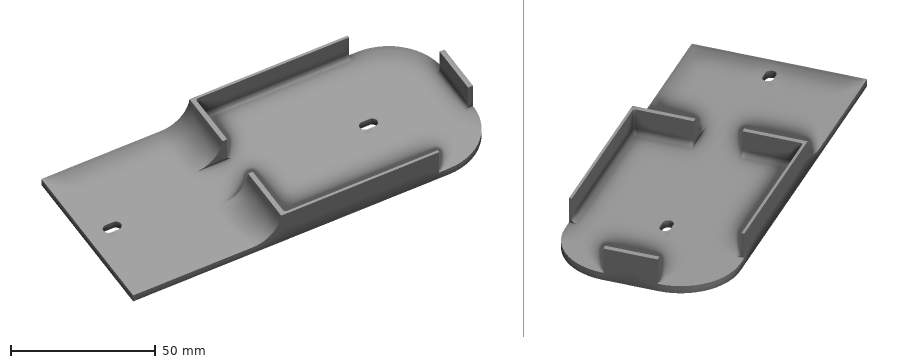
import cadquery as cq

length = 147.9
width = 65.0
plate_thickness = 3.0
total_height = 13.0
corner_radius = 22.0

side_wall = 1.0
side_wall_start = length - 26.0
cross_wall_inner = length - 87.1
cross_wall_outer = length - 88.9
foot_radius = 1.9
inner_corner_radius = 1.0
cable_gap = 18.0
ramp_radius = 11.2

tab_width = 20.1
tab_thickness = 1.9
tab_foot_radius = 1.3

slot_width = 4.0
slot_length = 7.0
slot_positions = [(0, length - 36.0), (0, length - 138.0)]


def box(x_min, x_max, y_min, y_max, z_min, z_max):
    """Make a block from its limits along each axis."""
    size = (x_max - x_min, y_max - y_min, z_max - z_min)
    return cq.Workplane("XY").box(*size, centered=False).translate((x_min, y_min, z_min))


def make_plate():
    plate = box(-width / 2, width / 2, 0, length, 0, plate_thickness)
    return plate.edges("|Z and >Y").fillet(corner_radius)


def make_cradle():
    """Two side walls joined to a split cross wall with a concave outer ramp."""
    ramp_foot = cross_wall_outer - ramp_radius
    outer = box(-width / 2, width / 2, ramp_foot, side_wall_start, 0, total_height)

    ramp_cutter = (
        cq.Workplane("YZ")
        .center(ramp_foot, plate_thickness + ramp_radius)
        .circle(ramp_radius)
        .extrude(width / 2, both=True)
    )

    inner_half_width = width / 2 - side_wall
    pocket = box(
        -inner_half_width, inner_half_width,
        cross_wall_inner, side_wall_start,
        plate_thickness, total_height + foot_radius,
    )
    pocket = pocket.edges("|Z and <Y").fillet(inner_corner_radius)
    pocket = pocket.faces("<Z").edges("not >Y").fillet(foot_radius)

    gap = box(
        -cable_gap / 2, cable_gap / 2,
        ramp_foot, side_wall_start,
        plate_thickness, total_height,
    )
    return outer.cut(ramp_cutter).cut(pocket).cut(gap)


def make_tab():
    """Upright stop with a concave fillet along its foot."""
    inner_face = length - tab_thickness
    foot_top = plate_thickness + tab_foot_radius
    return (
        cq.Workplane("YZ")
        .moveTo(length, 0)
        .lineTo(length, total_height)
        .lineTo(inner_face, total_height)
        .lineTo(inner_face, foot_top)
        .radiusArc((inner_face - tab_foot_radius, plate_thickness), tab_foot_radius)
        .lineTo(inner_face - tab_foot_radius, 0)
        .close()
        .extrude(tab_width / 2, both=True)
    )


def make_slots():
    return (
        cq.Workplane("XY")
        .pushPoints(slot_positions)
        .slot2D(slot_length, slot_width, 90)
        .extrude(plate_thickness)
    )


result = make_plate().union(make_cradle()).union(make_tab()).cut(make_slots())